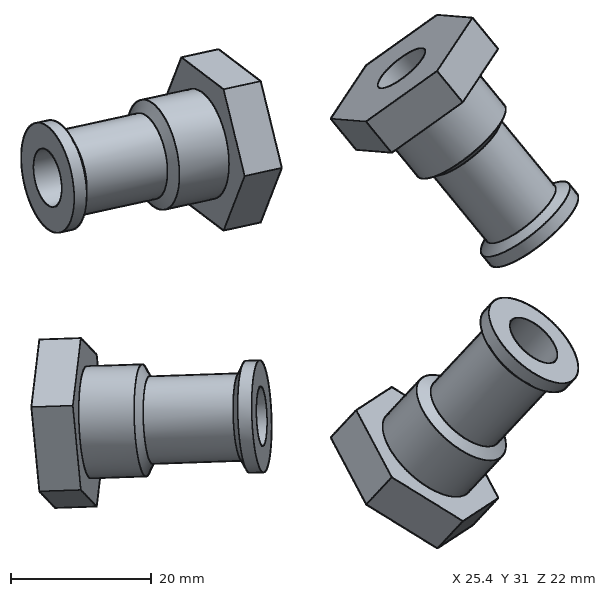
import cadquery as cq
import math

total_length = 31.0
across_flats = 22.0
head_length = 6.0

collar_diameter = 16.0
collar_length = 8.0
neck_diameter = 12.5
taper_length = 1.0
lip_length = 2.0
bore_diameter = 8.5

head_start = total_length - head_length
collar_start = head_start - collar_length
neck_end = collar_start - taper_length
neck_start = lip_length + taper_length

across_corners = across_flats / math.cos(math.pi / 6)
collar_radius = collar_diameter / 2
neck_radius = neck_diameter / 2
bore_radius = bore_diameter / 2


def along_y(start):
    """Workplane normal to Y at the given station."""
    return cq.Workplane("XZ", origin=(0, start, 0))


def hex_head():
    """Hexagonal prism with two corners on the X axis."""
    return (
        along_y(head_start)
        .polygon(6, across_corners)
        .extrude(-head_length)
    )


def shank():
    """Revolved lip, neck and collar with conical transitions."""
    return (
        cq.Workplane("XY")
        .moveTo(0, 0)
        .lineTo(collar_radius, 0)
        .lineTo(collar_radius, lip_length)
        .lineTo(neck_radius, neck_start)
        .lineTo(neck_radius, neck_end)
        .lineTo(collar_radius, collar_start)
        .lineTo(collar_radius, head_start)
        .lineTo(0, head_start)
        .close()
        .revolve(360, (0, 0, 0), (0, 1, 0))
    )


def bore():
    """Round hole through the full length."""
    return along_y(0).circle(bore_radius).extrude(-total_length)


result = hex_head().union(shank()).cut(bore())